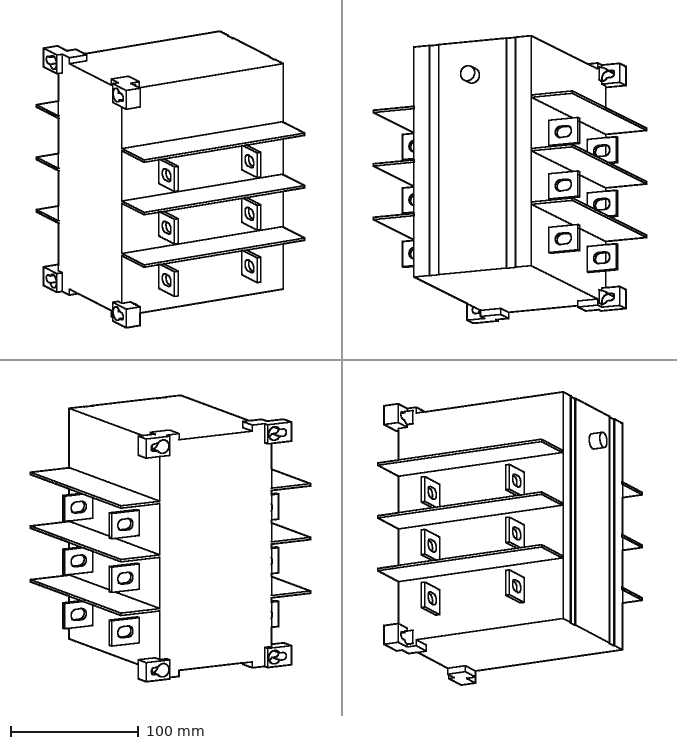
import cadquery as cq

overall_height = 194.0
overall_width = 170.0
overall_depth = 159.5

housing_width = 100.1
edge_step = 4.8
foot_standoff = 4.8
pin_length = 9.3
housing_height = overall_height - 2 * edge_step
housing_depth = overall_depth - foot_standoff - pin_length
housing_back = foot_standoff + housing_depth
housing_side = housing_width / 2

groove_width = 7.8
groove_depth = 0.8
groove_offset = 32.8

pin_diameter = 12.0
pin_height = 64.6

row_count = 3
row_pitch = 42.9
barrier_top_height = 43.8
barrier_thickness = 2.0
barrier_depth = housing_depth - groove_depth
tab_drop = 22.5
tab_span = 149.8
tab_height = 20.2
tab_thickness = 3.3
tab_depths = (39.5, 114.0)
tab_slot_length = 13.5
tab_slot_width = 9.0
tab_slot_offset = (housing_side + tab_span / 2) / 2

foot_inner = 43.8
foot_outer = 65.2
foot_height = 15.3
foot_depth = 12.6
pad_inner = 32.8
pad_back = 20.5
keyhole_diameter = 10.7
keyhole_slot_width = 5.8
keyhole_slot_end = 60.5
keyhole_depth = 17.5


def block(x_range, y_range, z_range):
    """Box between the given limits along each axis."""
    size = [high - low for low, high in (x_range, y_range, z_range)]
    corner = (x_range[0], y_range[0], z_range[0])
    return cq.Workplane("XY").box(*size, centered=False).translate(corner)


def plate(width, depth, height, front, mid_height):
    """Box centred on X and on mid_height, running back from front."""
    return cq.Workplane("XY").box(width, depth, height).translate((0, front + depth / 2, mid_height))


def facing_back(y):
    """Sketch plane at depth y, local x along X and local y along Z; negative extrusions run toward +Y."""
    return cq.Workplane(cq.Plane(origin=(0, y, 0), xDir=(1, 0, 0), normal=(0, -1, 0)))


def rod(x, height, diameter, front, length):
    """Cylinder along Y, running back from front."""
    return facing_back(front).center(x, height).circle(diameter / 2).extrude(-length)


def make_housing():
    """Grooved housing block with the pin on its back face."""
    housing = plate(housing_width, housing_depth, housing_height, foot_standoff, 0)
    for side in (-1, 1):
        groove = plate(groove_width, groove_depth, housing_height, housing_back - groove_depth, 0)
        housing = housing.cut(groove.translate((side * groove_offset, 0, 0)))
    return housing.union(rod(0, pin_height, pin_diameter, housing_back, pin_length))


def make_tab_pair(depth_center, mid_height):
    """Left and right terminal tabs as one bar passing through the housing."""
    front = depth_center - tab_thickness / 2
    bar = plate(tab_span, tab_thickness, tab_height, front, mid_height)
    slots = (
        facing_back(front)
        .pushPoints([(side * tab_slot_offset, mid_height) for side in (-1, 1)])
        .slot2D(tab_slot_length, tab_slot_width)
        .extrude(-tab_thickness)
    )
    return bar.cut(slots)


def make_corner():
    """Pad and foot of the upper +X corner."""
    top = overall_height / 2
    foot_bottom = top - foot_height
    pad = block((pad_inner, housing_side), (foot_standoff, pad_back), (foot_bottom, top))
    foot = block((foot_inner, foot_outer), (0, foot_depth), (foot_bottom, top))
    return pad.union(foot)


def make_keyhole():
    """Cutter for the keyhole of the upper +X corner."""
    mid_height = (overall_height - foot_height) / 2
    entry = rod(housing_side, mid_height, keyhole_diameter, 0, keyhole_depth)
    neck_end = keyhole_slot_end - keyhole_slot_width / 2
    neck = block(
        (housing_side, neck_end),
        (0, foot_depth),
        (mid_height - keyhole_slot_width / 2, mid_height + keyhole_slot_width / 2),
    )
    neck_round = rod(neck_end, mid_height, keyhole_slot_width, 0, foot_depth)
    return entry.union(neck).union(neck_round)


def at_four_corners(shape):
    """Copies of an upper +X shape mirrored to all four corners."""
    upper = [shape, shape.mirror("YZ")]
    lower = [copy.mirror("XY") for copy in upper]
    return upper + lower


result = make_housing()

for row in range(row_count):
    barrier_height = barrier_top_height - row * row_pitch
    barrier = plate(overall_width, barrier_depth, barrier_thickness, foot_standoff, barrier_height)
    result = result.union(barrier)
    for tab_depth in tab_depths:
        result = result.union(make_tab_pair(tab_depth, barrier_height - tab_drop))

for corner in at_four_corners(make_corner()):
    result = result.union(corner)

for keyhole in at_four_corners(make_keyhole()):
    result = result.cut(keyhole)